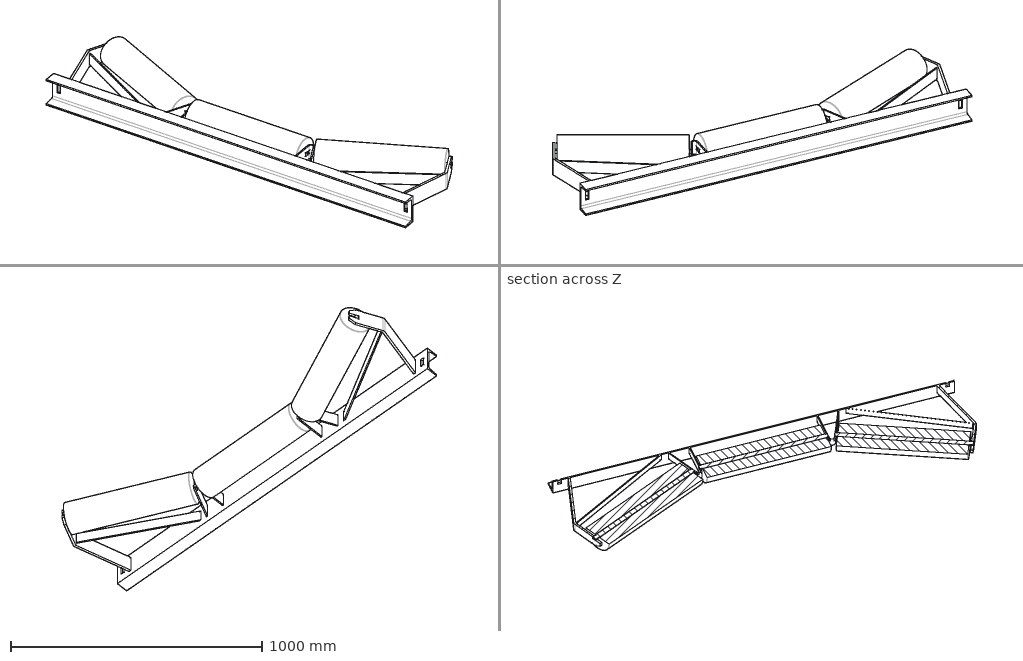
import cadquery as cq
import math


overall_length = 1702.0

channel_length = 1700.0
channel_height = 121.0
channel_depth = 55.0
web_thickness = 9.0
flange_root_thickness = 12.0
flange_tip_thickness = 7.0
root_radius = 9.0

mount_slot_width = 15.0
mount_slot_height = 37.0
mount_slot_inset = 29.0

roller_diameter = 133.0
roller_length = 528.0
roller_edge_radius = 2.0
trough_angle = 25
middle_roller_y = 117.0
side_roller_x = 548.0
side_roller_y = 238.0
axle_diameter = 19.0
axle_flat_width = 15.0

middle_gap = 3.0
side_gap = 6.0
inner_width = 61.0
inner_thickness = 6.0
inner_bend_radius = 9.4
outer_width = 75.0
outer_thickness = 10.0
outer_bend_radius = 7.0
outer_gap = 7.0
outer_leg_angle = 14.8
outer_tip_height = 32.0
tip_chamfer_length = 27.0
tip_chamfer_width = 15.0

brace_thickness = 6.0
brace_width = 51.0
brace_angle = 29.5
brace_foot_x = 397.0
brace_top_x = 837.0

trough = math.radians(trough_angle)
axle_radius = axle_diameter / 2
half_roller = roller_length / 2
middle_face = half_roller + middle_gap
side_face = half_roller + side_gap
outer_face = half_roller + outer_gap
middle_axle_end = middle_face + inner_thickness
side_axle_end = side_face + inner_thickness
outer_axle_end = outer_face + outer_thickness


def side_point(along, across):
    """Point on the +X side: along the roller axis (outward) and across it (upward)."""
    return (
        side_roller_x + along * math.cos(trough) - across * math.sin(trough),
        side_roller_y + along * math.sin(trough) + across * math.cos(trough),
    )


def on_side(shape):
    """Move a shape built about the X axis into the +X side roller's place."""
    turned = shape.rotate((0, 0, 0), (0, 0, 1), trough_angle)
    return turned.translate((side_roller_x, side_roller_y, 0))


def mirrored(shape):
    return shape.mirror("YZ")


def plate(points, width):
    """Flat outline in XY, extruded to a width centred on Z = 0."""
    return cq.Workplane("XY").polyline(points).close().extrude(width / 2, both=True)


def round_bend(strip, inside_corner, outside_corner, inside_radius, thickness):
    """Round both edges of a fold so that the strip keeps its thickness."""
    for (x, y), radius in ((inside_corner, inside_radius), (outside_corner, inside_radius + thickness)):
        edge = strip.edges(cq.selectors.NearestToPointSelector((x, y, 0)))
        strip = edge.fillet(radius)
    return strip


def channel():
    half_height = channel_height / 2
    root_z = half_height - flange_root_thickness
    tip_z = half_height - flange_tip_thickness
    profile = [
        (0, -half_height),
        (0, half_height),
        (-channel_depth, half_height),
        (-channel_depth, tip_z),
        (-web_thickness, root_z),
        (-web_thickness, -root_z),
        (-channel_depth, -tip_z),
        (-channel_depth, -half_height),
    ]
    body = cq.Workplane("YZ").polyline(profile).close().extrude(channel_length / 2, both=True)
    for side in (-1, 1):
        root_edge = cq.selectors.NearestToPointSelector((0, -web_thickness, side * root_z))
        body = body.edges(root_edge).fillet(root_radius)
    slot_x = channel_length / 2 - mount_slot_inset
    slots = (
        cq.Workplane("XY")
        .pushPoints([(-slot_x, 0), (slot_x, 0)])
        .box(mount_slot_width, 3 * web_thickness, mount_slot_height)
    )
    return body.cut(slots)


def axle_slot(start, end, top):
    """Cutter for an open-topped axle slot, in the roller's own axes."""
    return (
        cq.Workplane("XY")
        .box(end - start, top + axle_radius, axle_flat_width, centered=(False, False, True))
        .translate((start, -axle_radius, 0))
    )


def inner_bracket():
    """Inverted V between the middle roller and the +X side roller."""

    def corner(straight_x, along):
        across = (side_roller_x + along * math.cos(trough) - straight_x) / math.sin(trough)
        return side_point(along, across)

    def foot(along):
        return side_point(along, -(side_roller_y + along * math.sin(trough)) / math.cos(trough))

    outside = corner(middle_face, -side_face)
    inside = corner(middle_axle_end, -side_axle_end)
    outline = [
        (middle_face, 0),
        outside,
        foot(-side_face),
        foot(-side_axle_end),
        inside,
        (middle_axle_end, 0),
    ]
    strip = plate(outline, inner_width)
    strip = round_bend(strip, inside, outside, inner_bend_radius, inner_thickness)
    slot_top = roller_diameter / 2
    middle_slot = axle_slot(half_roller, middle_axle_end, slot_top).translate((0, middle_roller_y, 0))
    side_slot = on_side(axle_slot(-side_axle_end, -half_roller, slot_top))
    return strip.cut(middle_slot).cut(side_slot)


def outer_bracket():
    """Elbowed post carrying the outer end of the +X side roller."""
    leg = math.radians(outer_leg_angle)
    turn = trough + leg
    round_radius = outer_bend_radius + outer_thickness
    rounding = round_radius * (math.cos((trough - leg) / 2) / math.cos(turn / 2) - 1)
    elbow_x = overall_length / 2 + rounding
    outer_across = (side_roller_x + outer_axle_end * math.cos(trough) - elbow_x) / math.sin(trough)
    outside = side_point(outer_axle_end, outer_across)
    inside = side_point(outer_face, outer_across + outer_thickness * math.tan(turn / 2))

    def foot(elbow):
        return (elbow[0] - elbow[1] * math.tan(leg), 0)

    outline = [
        side_point(outer_axle_end, outer_tip_height),
        outside,
        foot(outside),
        foot(inside),
        inside,
        side_point(outer_face, outer_tip_height),
    ]
    strip = plate(outline, outer_width)
    strip = round_bend(strip, inside, outside, outer_bend_radius, outer_thickness)

    half_width = outer_width / 2
    for side in (-1, 1):
        corner_cut = (
            cq.Workplane("YZ")
            .polyline(
                [
                    (outer_tip_height, side * half_width),
                    (outer_tip_height - tip_chamfer_length, side * half_width),
                    (outer_tip_height, side * (half_width - tip_chamfer_width)),
                ]
            )
            .close()
            .extrude(outer_thickness)
            .translate((outer_face, 0, 0))
        )
        strip = strip.cut(on_side(corner_cut))
    return strip.cut(on_side(axle_slot(outer_face, outer_axle_end, outer_tip_height)))


def brace():
    """Sloping flat between the channel and the elbow of the +X outer bracket."""
    slope = math.radians(brace_angle)
    top_y = (brace_top_x - brace_foot_x) * math.tan(slope)
    half_run = brace_thickness / 2 / math.sin(slope)
    half_x = brace_thickness / 2 * math.sin(slope)
    half_y = brace_thickness / 2 * math.cos(slope)
    outline = [
        (brace_foot_x - half_run, 0),
        (brace_foot_x + half_run, 0),
        (brace_top_x + half_x, top_y - half_y),
        (brace_top_x - half_x, top_y + half_y),
    ]
    return plate(outline, brace_width)


def frame():
    """Channel, brackets and braces welded into one body."""
    body = channel()
    for member in (inner_bracket(), outer_bracket(), brace()):
        body = body.union(member).union(mirrored(member))
    return body


def roller():
    """Cylinder along X with softened rims, bored for its axle."""
    shell = cq.Workplane("YZ").circle(roller_diameter / 2).extrude(roller_length)
    shell = shell.edges().fillet(roller_edge_radius)
    bore = cq.Workplane("YZ").circle(axle_radius).extrude(roller_length)
    return shell.cut(bore).translate((-half_roller, 0, 0))


def axle(left_end, right_end):
    """Round bar along X, with two flats where it leaves the roller."""
    bar = cq.Workplane("YZ").circle(axle_radius).extrude(left_end + right_end).translate((-left_end, 0, 0))
    flats = (
        cq.Workplane("XY")
        .box(left_end + right_end, axle_diameter, axle_flat_width, centered=(False, True, True))
        .translate((-left_end, 0, 0))
    )
    core = cq.Workplane("XY").box(roller_length, axle_diameter, axle_diameter)
    return bar.intersect(flats.union(core))


idler_frame = frame()
middle_place = (0, middle_roller_y, 0)
middle_axle = axle(middle_axle_end, middle_axle_end)
side_axle = on_side(axle(side_axle_end, outer_axle_end))
side_roller = on_side(roller())
rollers = [roller().translate(middle_place), side_roller, mirrored(side_roller)]
axles = [middle_axle.translate(middle_place), side_axle, mirrored(side_axle)]

result = cq.Compound.makeCompound([idler_frame.val()] + [body.val() for body in rollers + axles])